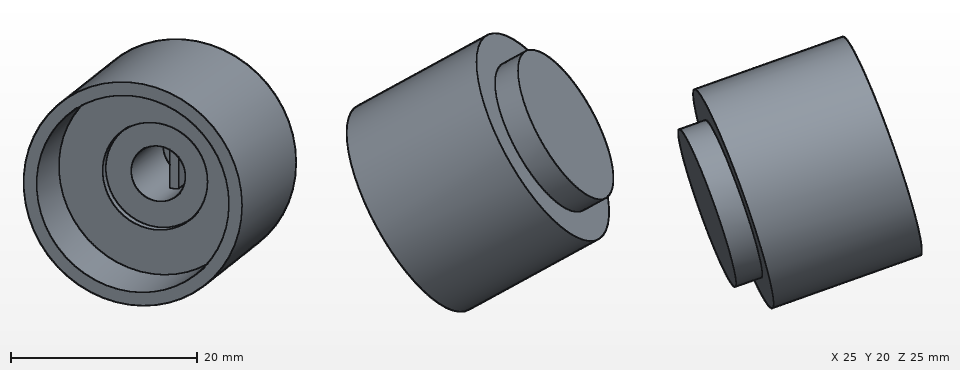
import cadquery as cq

body_diameter = 25.0
body_length = 17.0
boss_diameter = 18.0
boss_length = 3.0
overall_length = body_length + boss_length

wall_thickness = 1.5
cavity_diameter = body_diameter - 2 * wall_thickness
cavity_depth = 7.0
recess_diameter = 12.0
recess_depth = 1.0
shaft_hole_diameter = 6.2
end_wall_thickness = 2.0

rib_thickness = 1.0
rib_height = 5.0

front_y = -overall_length / 2
cavity_floor_y = front_y + cavity_depth
recess_floor_y = cavity_floor_y + recess_depth
hole_floor_y = front_y + overall_length - end_wall_thickness


def cylinder_along_y(diameter, start_y, end_y):
    """Solid cylinder on the Y axis between two Y positions."""
    base = cq.Workplane("XZ", origin=(0, start_y, 0))
    return base.circle(diameter / 2).extrude(start_y - end_y)


def drive_rib():
    """Flat upright rib trimmed to the round wall of the shaft hole."""
    rib_start_y = hole_floor_y - rib_height
    blade = cq.Workplane("XY").box(rib_thickness, overall_length, shaft_hole_diameter)
    return cylinder_along_y(shaft_hole_diameter, rib_start_y, hole_floor_y).intersect(blade)


body = cylinder_along_y(body_diameter, front_y, front_y + body_length)
boss = cylinder_along_y(boss_diameter, front_y, front_y + overall_length)
cavity = cylinder_along_y(cavity_diameter, front_y, cavity_floor_y)
recess = cylinder_along_y(recess_diameter, front_y, recess_floor_y)
shaft_hole = cylinder_along_y(shaft_hole_diameter, front_y, hole_floor_y)

result = body.union(boss).cut(cavity).cut(recess).cut(shaft_hole).union(drive_rib())